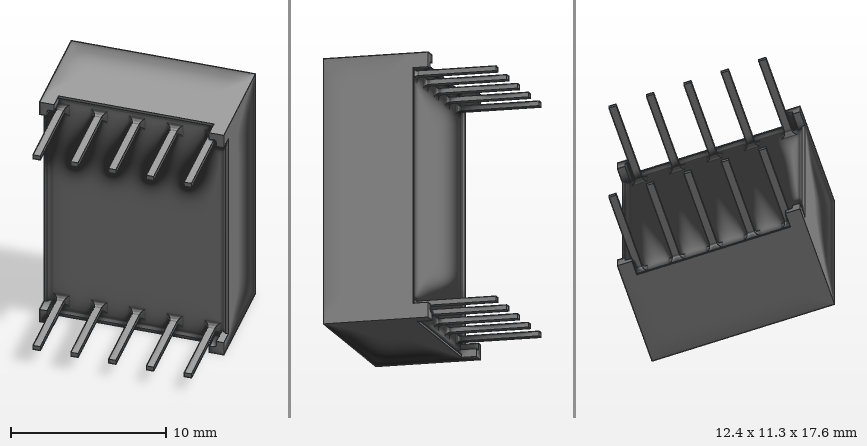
import cadquery as cq
import math

width = 12.4
height = 17.55
case_depth = 7.0
total_depth = 11.3

foot_size = 0.98
foot_height = 1.0
rim_width = 0.2

floor_drop = 0.2
creep_radius = 0.3
pocket_inset = 0.51
pocket_corner_radius = 0.2

pin_width = 0.5
pin_thickness = 0.32
pin_pitch = 2.55
pins_per_row = 5
row_spacing = 15.23
pin_embedment = 0.18

rim_y = foot_height
floor_y = rim_y + floor_drop
pin_tip_y = case_depth - total_depth
pin_root_y = floor_y + pin_embedment


def block(size_x, size_z, y_start, y_end):
    """Box centred on the Y axis, spanning y_start to y_end."""
    middle_y = (y_start + y_end) / 2
    return cq.Workplane("XY").box(size_x, y_end - y_start, size_z).translate((0, middle_y, 0))


def wall_creep_cut(side_length, other_side):
    """Concave channel that climbs from the floor to the rim along the +Z wall."""
    length = side_length - 2 * foot_size
    wall_distance = other_side / 2 - rim_width
    arc_center_y = floor_y - creep_radius
    reach = math.sqrt(creep_radius**2 - (rim_y - arc_center_y) ** 2)
    arc_start_z = wall_distance - reach
    channel_start_z = arc_start_z - rim_width
    half_angle = math.asin(reach / creep_radius) / 2
    arc_middle = (
        arc_center_y + creep_radius * math.cos(half_angle),
        arc_start_z + creep_radius * math.sin(half_angle),
    )
    return (
        cq.Workplane("YZ")
        .moveTo(rim_y, channel_start_z)
        .lineTo(floor_y, channel_start_z)
        .lineTo(floor_y, arc_start_z)
        .threePointArc(arc_middle, (rim_y, wall_distance))
        .close()
        .extrude(length / 2, both=True)
    )


def make_case():
    case = block(width, height, 0, case_depth)
    case = case.cut(block(width - 2 * foot_size, height, 0, rim_y))
    case = case.cut(block(width, height - 2 * foot_size, 0, rim_y))

    pocket = block(width - 2 * pocket_inset, height - 2 * pocket_inset, 0, floor_y)
    case = case.cut(pocket.edges("|Y").fillet(pocket_corner_radius))

    short_side = wall_creep_cut(width, height)
    long_side = wall_creep_cut(height, width)
    for flip in (0, 180):
        case = case.cut(short_side.rotate((0, 0, 0), (0, 1, 0), flip))
        case = case.cut(long_side.rotate((0, 0, 0), (0, 1, 0), 90 + flip))
    return case


def creep_wedge(pin_size, length):
    """Concave flare on two opposite faces of a pin, swept along the X axis."""
    half_pin = pin_size / 2
    half_foot = half_pin + creep_radius
    top_y = floor_y - creep_radius
    sag = creep_radius * (1 - math.sqrt(0.5))
    return (
        cq.Workplane("YZ")
        .moveTo(floor_y, -half_foot)
        .threePointArc((floor_y - sag, -half_pin - sag), (top_y, -half_pin))
        .lineTo(top_y, half_pin)
        .threePointArc((floor_y - sag, half_pin + sag), (floor_y, half_foot))
        .close()
        .extrude(length / 2, both=True)
    )


def make_pin():
    """Rectangular pin rising from a four-sided concave flare of compound."""
    pin = block(pin_width, pin_thickness, pin_tip_y, pin_root_y)
    flare_width = pin_width + 2 * creep_radius
    flare_thickness = pin_thickness + 2 * creep_radius
    flare = creep_wedge(pin_thickness, flare_width).intersect(
        creep_wedge(pin_width, flare_thickness).rotate((0, 0, 0), (0, 1, 0), 90)
    )
    return pin.union(flare)


result = make_case()
pin = make_pin()
for row_z in (-row_spacing / 2, row_spacing / 2):
    for index in range(pins_per_row):
        pin_x = (index - (pins_per_row - 1) / 2) * pin_pitch
        result = result.union(pin.translate((pin_x, 0, row_z)))